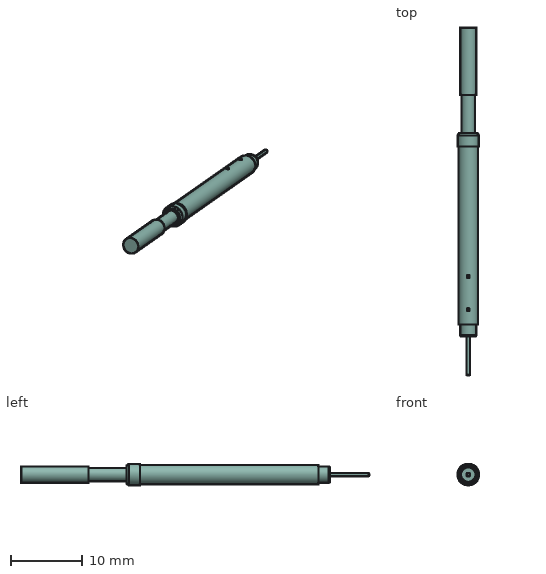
import cadquery as cq


collar_radius = 1.5
body_radius = 1.375
plug_radius = 1.15
neck_radius = 0.95
plunger_radius = 1.15
pin_radius = 0.25

total_length = 48.8
plunger_length = 9.45
neck_length = 5.3
collar_length = 1.9
body_length = 25.0
plug_length = 1.65

shoulder_length = 0.35
shoulder_width = 0.25

bevel_length = 0.2
bevel_width = 0.12

dimple_radius = 0.2
dimple_depth = 0.1
dimple_distances_from_body_end = (2.1, 6.75)

plunger_face = total_length / 2
neck_start = plunger_face - plunger_length
collar_top = neck_start - neck_length
shoulder_base = collar_top - shoulder_length
body_top = collar_top - collar_length
body_end = body_top - body_length
plug_end = body_end - plug_length
pin_tip = -total_length / 2

HALF_SQRT_TWO = 0.5**0.5
pin_dome_centre = pin_tip + pin_radius
pin_dome_mid = (pin_dome_centre - pin_radius * HALF_SQRT_TWO, pin_radius * HALF_SQRT_TWO)


def make_turned_part():
    """Half outline, as (Y, radius) points, revolved about the Y axis."""
    outline = (
        cq.Workplane("YZ")
        .moveTo(pin_tip, 0)
        .threePointArc(pin_dome_mid, (pin_dome_centre, pin_radius))
        .lineTo(plug_end, pin_radius)
        .lineTo(plug_end, plug_radius - bevel_width)
        .lineTo(plug_end + bevel_length, plug_radius)
        .lineTo(body_end, plug_radius)
        .lineTo(body_end, body_radius)
        .lineTo(body_top, body_radius)
        .lineTo(body_top, collar_radius)
        .lineTo(shoulder_base, collar_radius)
        .lineTo(collar_top, collar_radius - shoulder_width)
        .lineTo(collar_top, neck_radius)
        .lineTo(neck_start, neck_radius)
        .lineTo(neck_start, plunger_radius)
        .lineTo(plunger_face, plunger_radius)
        .lineTo(plunger_face, 0)
        .close()
    )
    return outline.revolve(360, (0, 0), (1, 0))


def make_dimple_ball(y_position):
    """Ball that cuts a shallow dimple into the top of the body."""
    ball_radius = (dimple_radius**2 + dimple_depth**2) / (2 * dimple_depth)
    ball_height = body_radius - dimple_depth + ball_radius
    return cq.Workplane("XY").sphere(ball_radius).translate((0, y_position, ball_height))


result = make_turned_part()
for distance in dimple_distances_from_body_end:
    result = result.cut(make_dimple_ball(body_end + distance))